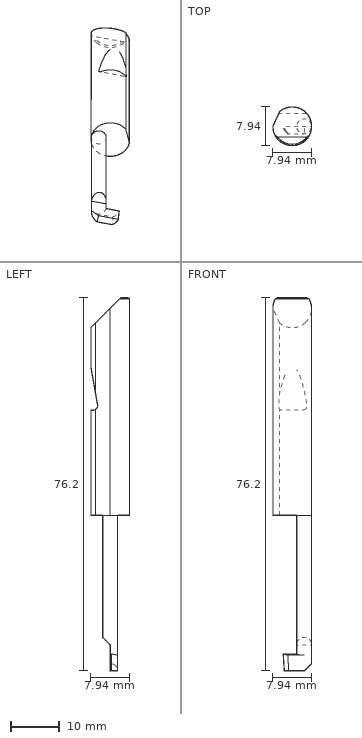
import cadquery as cq
import math

overall_length = 76.2
shank_diameter = 7.9375
shank_radius = shank_diameter / 2
shank_length = 44.45
shank_bottom = overall_length - shank_length
end_chamfer = 0.3

bevel_start_y = -2.17

flat_half_angle = 25.0

notch_floor_z = overall_length - 22.95
notch_depth = 1.55
notch_taper = 10.0
notch_corner_radius = 0.9

neck_diameter = 3.05
neck_radius = neck_diameter / 2
neck_x = shank_radius - neck_radius
half_section_top = 5.35
neck_end_chamfer = 1.5

tip_height = 3.5
tip_edge_x = -1.86
tip_end_lean = 0.22
tip_land_width = 0.25
tip_relief_run = 0.93
tip_relief_bulge = 0.12
tip_side_relief = 0.25

clearance = 5.0


def make_shank():
    bar = cq.Workplane("XY").workplane(offset=shank_bottom).circle(shank_radius).extrude(shank_length)
    return bar.faces(">Z").chamfer(end_chamfer)


def cut_bevel(body):
    top_z = overall_length + clearance
    low_y = shank_radius + clearance
    low_z = overall_length - (low_y - bevel_start_y)
    waste = (
        cq.Workplane("YZ")
        .moveTo(bevel_start_y - clearance, top_z)
        .lineTo(low_y, top_z)
        .lineTo(low_y, low_z)
        .close()
        .extrude(shank_radius + clearance, both=True)
    )
    return body.cut(waste)


def cut_locating_flat(body):
    distance = shank_radius * math.cos(math.radians(flat_half_angle))
    waste = (
        cq.Workplane("XY")
        .box(clearance, shank_diameter, overall_length, centered=(False, True, False))
        .translate((distance, 0, 0))
        .rotate((0, 0, 0), (0, 0, 1), 180 - flat_half_angle)
    )
    return body.cut(waste)


def cut_clamping_notch(body):
    slope = math.tan(math.radians(notch_taper))
    root_y = shank_radius - notch_depth
    mouth_y = shank_radius + clearance
    mouth_z = notch_floor_z + (mouth_y - root_y) / slope
    waste = (
        cq.Workplane("YZ")
        .moveTo(root_y, notch_floor_z)
        .lineTo(mouth_y, notch_floor_z)
        .lineTo(mouth_y, mouth_z)
        .close()
        .extrude(shank_radius + clearance, both=True)
        .edges("<Y")
        .fillet(notch_corner_radius)
    )
    return body.cut(waste)


def make_neck():
    neck = cq.Workplane("XY").center(neck_x, 0).circle(neck_radius).extrude(shank_bottom)
    step = (
        cq.Workplane("YZ")
        .moveTo(0, -clearance)
        .lineTo(0, half_section_top)
        .lineTo(clearance, half_section_top + clearance)
        .lineTo(clearance, -clearance)
        .close()
        .extrude(shank_radius + clearance, both=True)
    )
    corner = (
        cq.Workplane("XZ")
        .moveTo(shank_radius, neck_end_chamfer)
        .lineTo(shank_radius, 0)
        .lineTo(shank_radius - neck_end_chamfer, 0)
        .close()
        .extrude(neck_radius + clearance, both=True)
    )
    return neck.cut(step).cut(corner)


def tip_profile(level, edge_x):
    """Section of the tip: rake face, narrow land at the cutting edge, curved relief and front face."""
    heel_x = edge_x + tip_relief_run
    arc_middle = ((edge_x + heel_x) / 2 - tip_relief_bulge, -(tip_land_width + neck_radius) / 2)
    return (
        cq.Workplane("XY")
        .workplane(offset=level)
        .moveTo(neck_x, 0)
        .lineTo(edge_x, 0)
        .lineTo(edge_x, -tip_land_width)
        .threePointArc(arc_middle, (heel_x, -neck_radius))
        .lineTo(neck_x, -neck_radius)
        .close()
        .val()
    )


def make_tip():
    sections = [tip_profile(0, tip_edge_x + tip_end_lean), tip_profile(tip_height, tip_edge_x)]
    blank = cq.Workplane(cq.Solid.makeLoft(sections, True))
    side_relief = (
        cq.Workplane("YZ")
        .moveTo(0, tip_height)
        .lineTo(-neck_radius, tip_height - tip_side_relief)
        .lineTo(-neck_radius, tip_height)
        .close()
        .extrude(shank_radius, both=True)
    )
    return blank.cut(side_relief)


shank = cut_clamping_notch(cut_locating_flat(cut_bevel(make_shank())))
result = shank.union(make_neck()).union(make_tip())